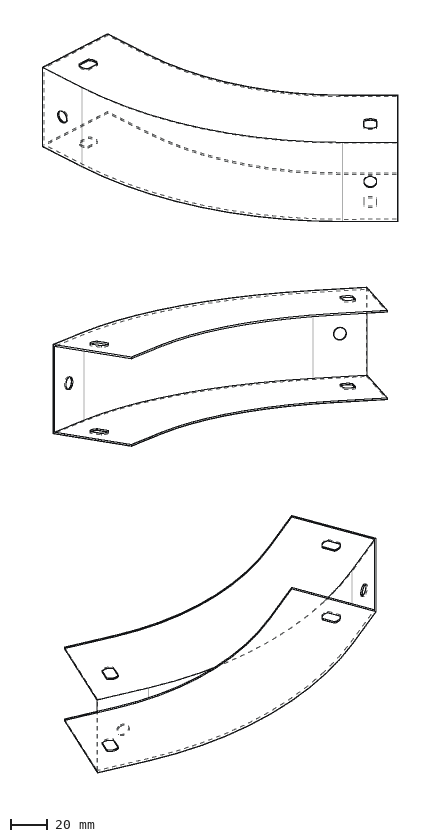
import cadquery as cq
import math

overall_length = 192.3
height = 50.0
width = 50.0
bend_angle = 45.0
straight = 30.0
thickness = 1.0
hole_diameter = 7.0
slot_length = 10.0
slot_width = hole_diameter
slot_offset = 20.0
end_offset = straight / 2

bend = math.radians(bend_angle)
outer_radius = (overall_length - straight * (1 + math.cos(bend))) / math.sin(bend)


def at_bend(inset, angle):
    """Plan point on the bend, inset from the outer face, at an angle along the bend."""
    radius = outer_radius - inset
    return (straight + radius * math.sin(angle), outer_radius - radius * math.cos(angle))


def at_far_end(inset, distance):
    """Plan point past the bend: distance along the far straight, inset from the outer face."""
    x, y = at_bend(inset, bend)
    return (x + distance * math.cos(bend), y + distance * math.sin(bend))


def bent_strip(outer_inset, inner_inset):
    """Solid of full height between two paths parallel to the outer face."""
    return (
        cq.Workplane("XY")
        .moveTo(0, outer_inset)
        .lineTo(straight, outer_inset)
        .threePointArc(at_bend(outer_inset, bend / 2), at_bend(outer_inset, bend))
        .lineTo(*at_far_end(outer_inset, straight))
        .lineTo(*at_far_end(inner_inset, straight))
        .lineTo(*at_bend(inner_inset, bend))
        .threePointArc(at_bend(inner_inset, bend / 2), at_bend(inner_inset, 0))
        .lineTo(0, inner_inset)
        .close()
        .extrude(height)
    )


def end_cutter(slot_center, wall_center, direction):
    """Flange slots and back wall hole of one end; direction is the angle of that end in plan."""
    slots = (
        cq.Workplane("XY")
        .circle(slot_length / 2)
        .extrude(height)
        .intersect(cq.Workplane("XY").rect(slot_width, slot_length).extrude(height))
        .rotate((0, 0, 0), (0, 0, 1), direction)
        .translate((*slot_center, 0))
    )
    angle = math.radians(direction)
    wall_plane = cq.Plane(
        origin=(*wall_center, height / 2),
        xDir=(math.cos(angle), math.sin(angle), 0),
        normal=(math.sin(angle), -math.cos(angle), 0),
    )
    wall_hole = cq.Workplane(wall_plane).circle(hole_diameter / 2).extrude(2 * thickness, both=True)
    return slots.union(wall_hole)


cavity = (
    bent_strip(thickness, width)
    .intersect(
        cq.Workplane("XY")
        .box(2 * overall_length, 2 * overall_length, height - 2 * thickness)
        .translate((0, 0, height / 2))
    )
)
channel = bent_strip(0, width).cut(cavity)

near_cutter = end_cutter((end_offset, slot_offset), (end_offset, 0), 0)
far_cutter = end_cutter(at_far_end(slot_offset, end_offset), at_far_end(0, end_offset), bend_angle)
result = channel.cut(near_cutter).cut(far_cutter)